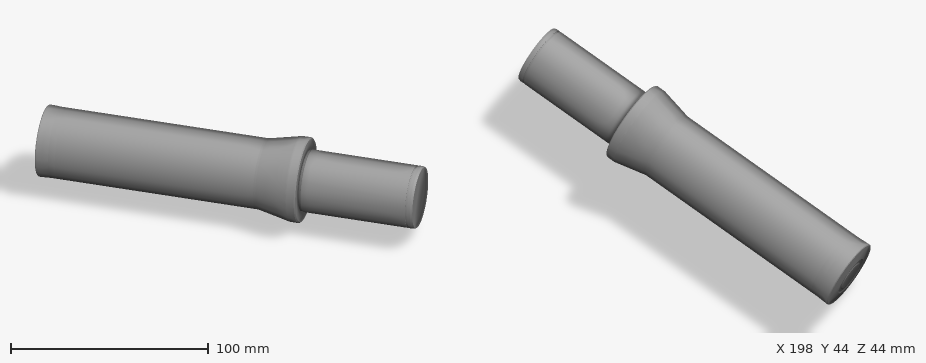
import cadquery as cq

overall_length = 198.0
head_end = 11.5
head_taper_end = 8.0
face_rim = 1.0
rim_chamfer_end = 1.4
flare_start = 116.0
collar_start = 133.2
collar_end = 138.2
shank_start = 139.5
end_groove_start = 194.2

body_diameter = 36.5
head_diameter = 37.0
face_rim_diameter = 36.2
collar_diameter = 44.0
shank_diameter = 32.0
relief_diameter = 31.5

face_groove_outer_diameter = 21.2
face_groove_inner_diameter = 14.7
face_groove_depth = 0.4
face_groove_slope = 0.8
collar_chamfer = 0.5
relief_runout = 0.4
shank_end_chamfer_length = 1.2
shank_end_chamfer_depth = 0.4
end_groove_width = 1.0

flare_start_radius = 5.5
collar_start_radius = 3.5


def revolve_profile(stations):
    """Revolve a profile of (x, diameter) stations about the X axis."""
    outline = [(x, diameter / 2) for x, diameter in stations]
    return cq.Workplane("XY").polyline(outline).close().revolve(360, (0, 0), (1, 0))


def circle_edge_at(x):
    """Box selector that catches the circular edge lying at one X position."""
    margin = 0.2
    return cq.selectors.BoxSelector(
        (x - margin, -collar_diameter, -collar_diameter),
        (x + margin, collar_diameter, collar_diameter),
        boundingbox=True,
    )


def make_head():
    """Front head: tapered rim, shallow conical face and an annular face groove."""
    blank = revolve_profile([
        (0, 0),
        (0, face_groove_outer_diameter),
        (face_rim, face_rim_diameter),
        (rim_chamfer_end, head_diameter),
        (head_taper_end, body_diameter),
        (head_end, body_diameter),
        (head_end, 0),
    ])
    groove = revolve_profile([
        (0, face_groove_inner_diameter),
        (0, face_groove_outer_diameter),
        (face_groove_depth, face_groove_outer_diameter - 2 * face_groove_slope),
        (face_groove_depth, face_groove_inner_diameter + 2 * face_groove_slope),
    ])
    return blank.cut(groove)


def make_holder():
    """Cylindrical holder with a flared collar and a rear shank."""
    turned = revolve_profile([
        (head_end, 0),
        (head_end, body_diameter),
        (flare_start, body_diameter),
        (collar_start, collar_diameter),
        (collar_end - collar_chamfer, collar_diameter),
        (collar_end, collar_diameter - 2 * collar_chamfer),
        (collar_end, relief_diameter),
        (shank_start - relief_runout, relief_diameter),
        (shank_start, shank_diameter),
        (end_groove_start, shank_diameter),
        (end_groove_start, relief_diameter),
        (end_groove_start + end_groove_width, relief_diameter),
        (end_groove_start + end_groove_width, shank_diameter),
        (overall_length - shank_end_chamfer_length, shank_diameter),
        (overall_length, shank_diameter - 2 * shank_end_chamfer_depth),
        (overall_length, 0),
    ])
    turned = turned.edges(circle_edge_at(flare_start)).fillet(flare_start_radius)
    return turned.edges(circle_edge_at(collar_start)).fillet(collar_start_radius)


head = make_head()
holder = make_holder()
result = cq.Compound.makeCompound([head.val(), holder.val()])